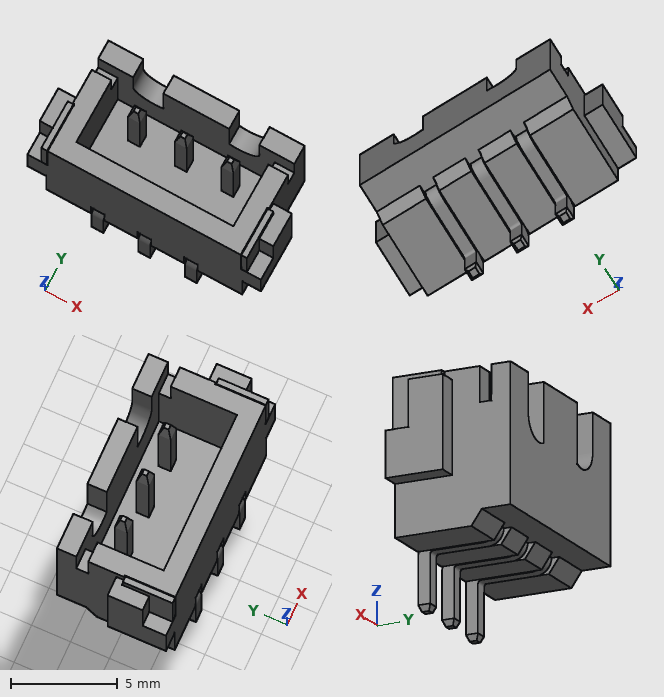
import cadquery as cq


HOUSING_HALF_WIDTH = 5.25
HOUSING_DEPTH = 6.05
HOUSING_HEIGHT = 7.82
RAISED_UNDERSIDE = 0.78
RAISED_LENGTH = 1.5
SLOPE_LENGTH = 0.55

FRONT_WALL = 1.04
SIDE_WALL = 1.05
REAR_WALL = 1.0
FLOOR_TOP = RAISED_UNDERSIDE + REAR_WALL

SIDE_SLOT_WIDTH = 0.61
SIDE_SLOT_DEPTH = 1.79
NOTCH_OUTER_X = 3.38
NOTCH_INNER_X = 1.76
NOTCH_STRAIGHT = 2.0
NOTCH_RADIUS = 1.12

EAR_OUTER_X = 6.25
EAR_DEPTH = 3.0
EAR_TOP_DROP = 0.48
EAR_STEP_DROP = 2.82
EAR_BOTTOM_DROP = 5.18
EAR_STEP_DEPTH = 1.2

PLATE_INNER_X = 5.2
PLATE_THICKNESS = 0.3
PLATE_DEPTH = 2.56
PLATE_GAP = 0.04

PIN_XS = (-2.5, 0.0, 2.5)
PIN_SIZE = 0.64
PIN_REAR_Y = 4.18
PIN_TOP_DROP = 0.5
PIN_TOP_TAPER = 0.8
PIN_TOP_TIP = 0.25
LEG_LENGTH = 2.92
LEG_TAPER = 0.31
LEG_TIP = 0.38
BEND_INNER_RADIUS = 0.16
BEND_OUTER_RADIUS = BEND_INNER_RADIUS + PIN_SIZE
RUN_BOTTOM = RAISED_UNDERSIDE - BEND_OUTER_RADIUS
CONTACT_FRONT_Y = PIN_REAR_Y - PIN_SIZE

CHANNEL_WIDTH = 0.74
CHANNEL_HEIGHT = 1.19
CHANNEL_DEPTH = HOUSING_DEPTH - RAISED_LENGTH

SIDES = (-1, 1)


def box(x_range, y_range, z_range):
    """Axis-aligned block between two limits on each axis, given in either order."""
    low, high = zip(*(sorted(limits) for limits in (x_range, y_range, z_range)))
    size = [b - a for a, b in zip(low, high)]
    return cq.Workplane("XY").box(*size, centered=False).translate(low)


def housing_block():
    """Side profile with the raised rear underside, extruded across X."""
    slope_top_y = HOUSING_DEPTH - RAISED_LENGTH
    return (
        cq.Workplane("YZ")
        .moveTo(0, 0)
        .lineTo(slope_top_y - SLOPE_LENGTH, 0)
        .lineTo(slope_top_y, RAISED_UNDERSIDE)
        .lineTo(HOUSING_DEPTH, RAISED_UNDERSIDE)
        .lineTo(HOUSING_DEPTH, HOUSING_HEIGHT)
        .lineTo(0, HOUSING_HEIGHT)
        .close()
        .extrude(HOUSING_HALF_WIDTH, both=True)
    )


def ear(side):
    """L-shaped ear: its front corner is stepped down."""
    x_range = (side * HOUSING_HALF_WIDTH, side * EAR_OUTER_X)
    step_z = HOUSING_HEIGHT - EAR_STEP_DROP
    lower = box(x_range, (0, EAR_DEPTH), (HOUSING_HEIGHT - EAR_BOTTOM_DROP, step_z))
    upper = box(x_range, (EAR_STEP_DEPTH, EAR_DEPTH), (step_z, HOUSING_HEIGHT - EAR_TOP_DROP))
    return lower.union(upper)


def plate_pocket(side):
    """Recess for a side plate, with a gap on its inner face and behind it."""
    return box(
        (side * (PLATE_INNER_X - PLATE_GAP), side * (PLATE_INNER_X + PLATE_THICKNESS)),
        (0, PLATE_DEPTH + PLATE_GAP),
        (HOUSING_HEIGHT - EAR_STEP_DROP, HOUSING_HEIGHT),
    )


def cavity():
    inner_half_width = HOUSING_HALF_WIDTH - SIDE_WALL
    return box(
        (-inner_half_width, inner_half_width),
        (FRONT_WALL, HOUSING_DEPTH - REAR_WALL),
        (FLOOR_TOP, HOUSING_HEIGHT),
    )


def side_slots():
    """Slots through both side walls, just in front of the rear wall."""
    rear_y = HOUSING_DEPTH - REAR_WALL
    return box(
        (-HOUSING_HALF_WIDTH, HOUSING_HALF_WIDTH),
        (rear_y - SIDE_SLOT_WIDTH, rear_y),
        (HOUSING_HEIGHT - SIDE_SLOT_DEPTH, HOUSING_HEIGHT),
    )


def rear_notch(side):
    """Notch in the rear wall; its round bottom is tangent to the outer edge and cut off by the inner edge."""
    y_range = (HOUSING_DEPTH - REAR_WALL, HOUSING_DEPTH)
    x_range = (side * NOTCH_INNER_X, side * NOTCH_OUTER_X)
    arc_z = HOUSING_HEIGHT - NOTCH_STRAIGHT
    straight = box(x_range, y_range, (arc_z, HOUSING_HEIGHT))
    round_bottom = (
        cq.Workplane("XZ", origin=(side * (NOTCH_OUTER_X - NOTCH_RADIUS), HOUSING_DEPTH, arc_z))
        .circle(NOTCH_RADIUS)
        .extrude(REAR_WALL)
        .intersect(box(x_range, y_range, (arc_z - NOTCH_RADIUS, arc_z)))
    )
    return straight.union(round_bottom)


def pin_channel(x):
    """Channel open to the front and below; it gets lower where the pin rises into the housing."""
    x_range = (x - CHANNEL_WIDTH / 2, x + CHANNEL_WIDTH / 2)
    front = box(x_range, (0, CONTACT_FRONT_Y), (0, CHANNEL_HEIGHT))
    rear = box(x_range, (CONTACT_FRONT_Y, CHANNEL_DEPTH), (0, RAISED_UNDERSIDE))
    return front.union(rear)


def pin_tip(x, y, base_z, height, tip_size):
    """Square taper from the pin section; a negative height points down."""
    return (
        cq.Workplane("XY", origin=(x, y, base_z))
        .rect(PIN_SIZE, PIN_SIZE)
        .workplane(offset=height)
        .rect(tip_size, tip_size)
        .loft(combine=True)
    )


def pin(x):
    """Square pin: front leg, run under the cavity floor and rear contact, joined by two bends."""
    rear_y = PIN_REAR_Y
    run_top = RUN_BOTTOM + PIN_SIZE
    leg_end = LEG_TAPER - LEG_LENGTH
    contact_end = HOUSING_HEIGHT - PIN_TOP_DROP - PIN_TOP_TAPER
    inner, outer = BEND_INNER_RADIUS, BEND_OUTER_RADIUS
    path = (
        cq.Workplane("YZ", origin=(x, 0, 0))
        .moveTo(0, leg_end)
        .lineTo(0, run_top - outer)
        .radiusArc((outer, run_top), outer)
        .lineTo(CONTACT_FRONT_Y - inner, run_top)
        .radiusArc((CONTACT_FRONT_Y, run_top + inner), -inner)
        .lineTo(CONTACT_FRONT_Y, contact_end)
        .lineTo(rear_y, contact_end)
        .lineTo(rear_y, RUN_BOTTOM + outer)
        .radiusArc((rear_y - outer, RUN_BOTTOM), outer)
        .lineTo(PIN_SIZE + inner, RUN_BOTTOM)
        .radiusArc((PIN_SIZE, RUN_BOTTOM - inner), -inner)
        .lineTo(PIN_SIZE, leg_end)
        .close()
        .extrude(PIN_SIZE / 2, both=True)
    )
    contact_tip = pin_tip(x, rear_y - PIN_SIZE / 2, contact_end, PIN_TOP_TAPER, PIN_TOP_TIP)
    leg_tip = pin_tip(x, PIN_SIZE / 2, leg_end, -LEG_TAPER, LEG_TIP)
    return path.union(contact_tip).union(leg_tip)


def housing_body():
    """Housing in one piece with its three pins."""
    body = housing_block()
    for side in SIDES:
        body = body.union(ear(side))
    body = body.cut(cavity()).cut(side_slots())
    for side in SIDES:
        body = body.cut(plate_pocket(side)).cut(rear_notch(side))
    for x in PIN_XS:
        body = body.cut(pin_channel(x))
    for x in PIN_XS:
        body = body.union(pin(x))
    return body


def side_plate(side):
    """Thin plate standing on the floor of its pocket, flush with the housing front and top."""
    return box(
        (side * PLATE_INNER_X, side * (PLATE_INNER_X + PLATE_THICKNESS)),
        (0, PLATE_DEPTH),
        (HOUSING_HEIGHT - EAR_STEP_DROP, HOUSING_HEIGHT),
    )


housing = housing_body()
side_plates = [side_plate(side) for side in SIDES]

result = cq.Compound.makeCompound([housing.solids().val(), *(plate.val() for plate in side_plates)])